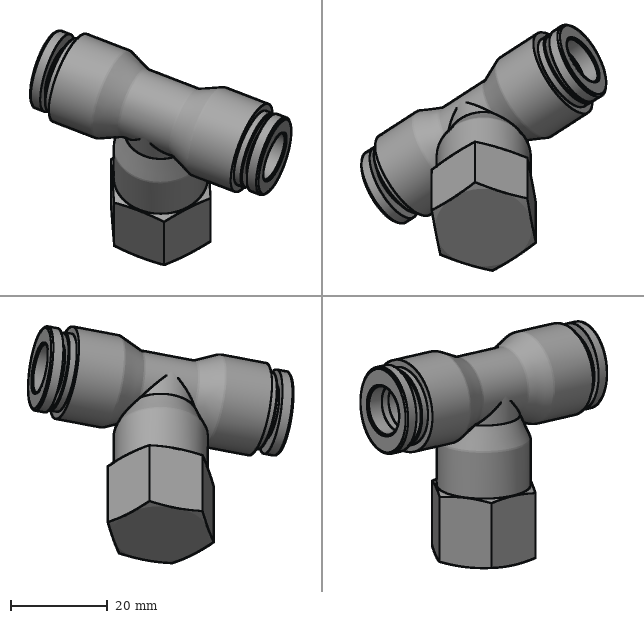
import cadquery as cq
import math


run_length = 52.8
end_x = run_length / 2

pipe_radius = 7.5
socket_radius = 19.5 / 2
cone_start = 5.9
cone_end = 11.0
socket_end = 21.0
edge_round = 1.0
tube_bore_radius = 10.15 / 2
tube_bore_floor = cone_end

collar_radius = 16.5 / 2
collar_length = 1.75
collar_chamfer = 0.2

flange_width = 16.0
flange_height = 18.5
flange_thickness = 2.55
flange_chamfer = 0.35
neck_radius = 11.7 / 2
neck_length = end_x - flange_thickness - socket_end - collar_length
sleeve_bore_radius = 10.2 / 2
sleeve_bore_chamfer = 0.3

hex_width = 20.0
hex_corner_diameter = hex_width / math.cos(math.radians(30))
nut_height = 15.0
nut_corner_drop = 0.5

height_tolerance = 0.05
tee_centre = (0, 0, 0)
ends = (-1, 1)


def place_at_end(part, end):
    """Leave a part built at the -X end there, or turn it about Z to the +X end."""
    turn_angle = 0 if end < 0 else 180
    return part.rotate(tee_centre, (0, 0, 1), turn_angle)


def round_edge(arm, distance):
    """Blend the circular edge of an upright arm at one distance from the tee centre."""
    reach = 2 * socket_radius
    slab = cq.selectors.BoxSelector(
        (-reach, -reach, distance - height_tolerance),
        (reach, reach, distance + height_tolerance),
    )
    return arm.edges("%CIRCLE").edges(slab).fillet(edge_round)


def make_arm():
    """One arm standing up from the tee centre along +Z, with sharp edges."""
    outline = (
        cq.Workplane("XZ")
        .polyline([
            (0, 0),
            (pipe_radius, 0),
            (pipe_radius, cone_start),
            (socket_radius, cone_end),
            (socket_radius, socket_end),
            (0, socket_end),
        ])
        .close()
    )
    return outline.revolve(360, (0, 0, 0), (0, 1, 0))


def make_housing():
    """Tee with two run arms and a solid branch; a blind tube bore in each run arm."""
    branch_arm = round_edge(make_arm(), cone_end)
    run_arm = round_edge(branch_arm, cone_start)
    housing = branch_arm.rotate(tee_centre, (1, 0, 0), 180)
    for end in ends:
        housing = housing.union(run_arm.rotate(tee_centre, (0, 1, 0), 90 * end))
    bore_depth = socket_end - tube_bore_floor
    for end in ends:
        bore = (
            cq.Workplane("YZ")
            .workplane(offset=end * tube_bore_floor)
            .circle(tube_bore_radius)
            .extrude(end * bore_depth)
        )
        housing = housing.cut(bore)
    return housing


def make_collar(end):
    """Ring that sits against the outer face of a socket."""
    ring = (
        cq.Workplane("YZ")
        .workplane(offset=-socket_end - collar_length)
        .circle(collar_radius)
        .extrude(collar_length)
        .faces("<X")
        .edges()
        .chamfer(collar_chamfer)
    )
    ring = ring.cut(
        cq.Workplane("YZ")
        .workplane(offset=-socket_end - collar_length)
        .circle(tube_bore_radius)
        .extrude(collar_length)
    )
    return place_at_end(ring, end)


def make_release_sleeve(end):
    """Oval push flange with a round neck that meets the collar."""
    flange = (
        cq.Workplane("YZ")
        .workplane(offset=-end_x)
        .ellipse(flange_width / 2, flange_height / 2)
        .extrude(flange_thickness)
        .faces("<X")
        .edges()
        .chamfer(flange_chamfer)
    )
    sleeve = flange.faces(">X").workplane(origin=tee_centre).circle(neck_radius).extrude(neck_length)
    bore = (
        cq.Workplane("YZ")
        .workplane(offset=-end_x)
        .circle(sleeve_bore_radius)
        .extrude(flange_thickness + neck_length)
    )
    mouth = cq.Workplane(cq.Solid.makeCone(
        sleeve_bore_radius + sleeve_bore_chamfer,
        sleeve_bore_radius,
        sleeve_bore_chamfer,
        cq.Vector(-end_x, 0, 0),
        cq.Vector(1, 0, 0),
    ))
    sleeve = sleeve.cut(bore).cut(mouth)
    return place_at_end(sleeve, end)


def make_nut():
    """Hexagon with flats facing Y, its corners turned down by a cone at both ends."""
    nut_top = -socket_end
    nut_bottom = nut_top - nut_height
    flat_radius = hex_width / 2
    corner_radius = hex_corner_diameter / 2
    hexagon = (
        cq.Workplane("XY")
        .workplane(offset=nut_bottom)
        .polygon(6, hex_corner_diameter)
        .extrude(nut_height)
    )
    turned_blank = (
        cq.Workplane("XZ")
        .polyline([
            (0, nut_bottom),
            (flat_radius, nut_bottom),
            (corner_radius, nut_bottom + nut_corner_drop),
            (corner_radius, nut_top - nut_corner_drop),
            (flat_radius, nut_top),
            (0, nut_top),
        ])
        .close()
        .revolve(360, (0, 0, 0), (0, 1, 0))
    )
    return hexagon.intersect(turned_blank)


housing = make_housing()
nut = make_nut()
collars = [make_collar(end) for end in ends]
release_sleeves = [make_release_sleeve(end) for end in ends]

result = cq.Compound.makeCompound([
    housing.solids().val(),
    nut.solids().val(),
    *[collar.solids().val() for collar in collars],
    *[sleeve.solids().val() for sleeve in release_sleeves],
])